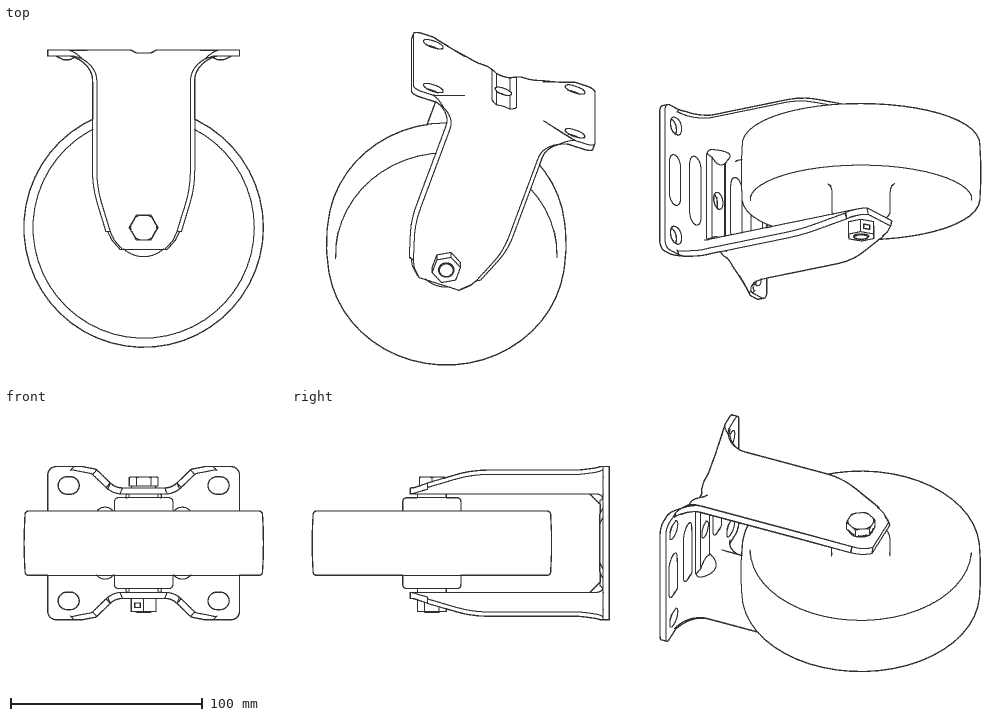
import cadquery as cq
import math


sheet = 3.3
back_y = 92.5

plate_length = 100.1
plate_height = 80.0
plate_corner = 4.6
slot_pitch_x = 78.1
slot_pitch_z = 60.1
slot_length = 10.8
slot_width = 9.0
centre_hole = 9.0
panel_rise = 1.5
panel_base_half = 9.5
panel_top_half = 6.2
groove_base_half = 6.7
groove_floor_half = 3.7

ribs = [(20.1, 37.5), (40.1, 27.6)]
rib_width = 11.2
rib_crest_width = 3.4
rib_height = 1.9
rib_crest_radius = 1.5

leg_outer_z = 28.8
leg_end_y = -11.3
web_half = 11.0
flange_angle = 44.0
flange_bend = 9.1
flange_width = 9.8
plate_bend = 6.4
flare_reach = 24.8
flare_plate_setback = 9.3
flare_leg_setback = 43.4
flare_mid_reach = 6.2
flare_mid_plate_setback = 8.0
flare_mid_leg_setback = 10.5
flare_radius = 14.4
flare_start_y = 75.6
taper_start_y = 20.8
taper_radius = 43.4
flange_end_y = -2.2
tip_reach = 4.3
tip_y = -6.7

dimple_radius = 10.8
dimple_floor = 9.8
dimple_wall = 2.6
dimple_lip_radius = 3.1

wheel_radius = 62.5
crown = 0.5
wheel_width = 33.6
rim_fillet = 2.0
rim_inner_radius = 57.6
rim_cove = 7.7
disc_thickness = 5.3
hub_radius = 15.2
hub_length = 47.4
hub_cove = 8.5

axle_radius = 4.0
spacer_radius = 7.6
hex_flats = 13.0
head_collar_radius = 6.4
head_collar_height = 1.0
head_height = 4.8
head_chamfer = 0.8
nut_height = 6.8
bolt_protrusion = 0.5
nut_mark_width = 3.4
nut_mark_height = 2.3
nut_mark_depth = 0.5

plate_front_y = back_y - sheet
leg_inner_z = leg_outer_z - sheet
slope = math.radians(flange_angle)
bend_centre = (web_half, leg_outer_z + flange_bend)
flange_start = (
    bend_centre[0] + flange_bend * math.sin(slope),
    bend_centre[1] - flange_bend * math.cos(slope),
)
hex_corners = hex_flats / math.cos(math.radians(30))


def sheet_section(plane, plate_setback, leg_setback):
    """L-shaped cut through the sheet: a stub of plate, the bend, then the leg down to its end.

    Local x runs from the leg's outer face inwards, local y from the mounting face along the leg.
    """
    quarter = 4 / 3 * (math.sqrt(2) - 1)
    stub = plate_setback + sheet
    leg = back_y - leg_end_y
    return (
        cq.Workplane(plane)
        .moveTo(stub, 0)
        .lineTo(plate_setback, 0)
        .bezier(
            [
                (plate_setback * (1 - quarter), 0),
                (0, leg_setback * (1 - quarter)),
                (0, leg_setback),
            ],
            includeCurrent=True,
        )
        .lineTo(0, leg)
        .lineTo(sheet, leg)
        .lineTo(sheet, leg_setback)
        .bezier(
            [
                (sheet, leg_setback - quarter * (leg_setback - sheet)),
                (plate_setback - quarter * (plate_setback - sheet), sheet),
                (plate_setback, sheet),
            ],
            includeCurrent=True,
        )
        .lineTo(stub, sheet)
        .close()
    )


def section_plane(x, z, angle):
    """Plane square to the leg's outer face at (x, z), where that face slopes by `angle`."""
    return cq.Plane(
        origin=(x, back_y, z),
        xDir=(math.sin(angle), 0, -math.cos(angle)),
        normal=(-math.cos(angle), 0, -math.sin(angle)),
    )


def along_flange(distance):
    """Point (x, z) on the flange's outer face at a distance up the slope from the bend."""
    return (
        flange_start[0] + distance * math.cos(slope),
        flange_start[1] + distance * math.sin(slope),
    )


def web_half_strip():
    plane = section_plane(web_half, leg_outer_z, 0)
    return sheet_section(plane, plate_bend, plate_bend).extrude(web_half)


def flange_bend_sector():
    plane = section_plane(web_half, leg_outer_z, 0)
    axis_start = (-flange_bend, 0)
    axis_end = (-flange_bend, 1)
    sector = sheet_section(plane, plate_bend, plate_bend).revolve(flange_angle, axis_start, axis_end)
    return sector.intersect(bend_outline())


def bend_outline():
    """Prism square to the chord of the bend that crops the bend's lower end."""
    chord = math.hypot(flange_start[0] - web_half, flange_start[1] - leg_outer_z)
    tilt = slope / 2
    face = cq.Plane(
        origin=(web_half, 0, leg_outer_z),
        xDir=(math.cos(tilt), 0, math.sin(tilt)),
        normal=(-math.sin(tilt), 0, math.cos(tilt)),
    )
    return (
        cq.Workplane(face)
        .moveTo(-chord, leg_end_y)
        .lineTo(0, leg_end_y)
        .lineTo(tip_reach, tip_y)
        .lineTo(chord, flange_end_y)
        .lineTo(2 * chord, flange_end_y)
        .lineTo(2 * chord, back_y)
        .lineTo(-chord, back_y)
        .close()
        .extrude(plate_height / 2, both=True)
    )


def flange_outline():
    """Prism square to the flange face that gives the flange its edge, from flare to taper."""
    face = cq.Plane(
        origin=(flange_start[0], 0, flange_start[1]),
        xDir=(math.cos(slope), 0, math.sin(slope)),
        normal=(-math.sin(slope), 0, math.cos(slope)),
    )
    flare_rise = plate_front_y - flare_start_y
    flare_turn = math.asin(flare_rise / flare_radius)
    half_turn = flare_turn / 2
    flare_mid = (
        flange_width + flare_radius * (1 - math.cos(half_turn)),
        flare_start_y + flare_radius * math.sin(half_turn),
    )
    flare_end = (flange_width + flare_radius * (1 - math.cos(flare_turn)), plate_front_y)
    outline = (
        cq.Workplane(face)
        .moveTo(0, flange_end_y)
        .lineTo(flange_width, taper_start_y)
        .lineTo(flange_width, flare_start_y)
        .threePointArc(flare_mid, flare_end)
        .lineTo(flare_reach, plate_front_y)
        .lineTo(flare_reach, back_y)
        .lineTo(0, back_y)
        .close()
        .extrude(plate_height / 2, both=True)
    )
    taper_corner = cq.selectors.NearestToPointSelector(
        face.toWorldCoords((flange_width, taper_start_y, 0)).toTuple()
    )
    return outline.edges(taper_corner).fillet(taper_radius)


def flange():
    """Sloping flange whose bend into the plate grows along the slope, so that it flares out."""
    stations = [
        (0, plate_bend, plate_bend),
        (flare_mid_reach, flare_mid_plate_setback, flare_mid_leg_setback),
        (flare_reach, flare_plate_setback, flare_leg_setback),
    ]
    sections = [
        sheet_section(section_plane(*along_flange(distance), slope), plate_setback, leg_setback)
        for distance, plate_setback, leg_setback in stations
    ]
    blank = cq.Solid.makeLoft([section.wire().val() for section in sections])
    return cq.Workplane(blank).intersect(flange_outline())


def plate_outline():
    """Prism of the plate's outer rectangle, deep enough to trim the legs' flared roots as well."""
    depth = back_y - leg_end_y
    return (
        cq.Workplane("XZ", origin=(0, back_y, 0))
        .rect(plate_length, plate_height)
        .extrude(depth)
        .edges("|Y")
        .fillet(plate_corner)
    )


def flat_plate():
    """Plate up to the lines where it starts to bend into the legs."""
    bend_root = flange_bend + plate_bend
    web_root_z = leg_outer_z - plate_bend
    arc_mid = (
        bend_centre[0] + bend_root * math.sin(slope / 2),
        bend_centre[1] - bend_root * math.cos(slope / 2),
    )
    arc_end = (
        bend_centre[0] + bend_root * math.sin(slope),
        bend_centre[1] - bend_root * math.cos(slope),
    )
    far_x, far_z = along_flange(flare_reach)
    flare_root = (
        far_x + flare_plate_setback * math.sin(slope),
        far_z - flare_plate_setback * math.cos(slope),
    )
    quarter_plate = (
        cq.Workplane("XZ", origin=(0, back_y, 0))
        .lineTo(0, web_root_z)
        .lineTo(web_half, web_root_z)
        .threePointArc(arc_mid, arc_end)
        .lineTo(*flare_root)
        .lineTo(plate_length, flare_root[1])
        .lineTo(plate_length, 0)
        .close()
        .extrude(sheet)
    )
    half_plate = quarter_plate.union(quarter_plate.mirror("XY"))
    return half_plate.union(half_plate.mirror("YZ"))


def panel_bar(base_half, top_half, base_y):
    """Full-height bar of trapezoidal section that stands on `base_y` and points to -Y."""
    return (
        cq.Workplane("XY", origin=(0, 0, -leg_inner_z))
        .polyline(
            [
                (-base_half, base_y),
                (base_half, base_y),
                (top_half, base_y - panel_rise),
                (-top_half, base_y - panel_rise),
            ]
        )
        .close()
        .extrude(2 * leg_inner_z)
    )


def dimple_rod(radius, side):
    """Rod at 45 degrees across the bend of one leg (side = +1 for the upper leg, -1 for the lower)."""
    offset = dimple_radius / math.sqrt(2)
    length = 2 * leg_outer_z
    start = cq.Vector(0, back_y - dimple_floor + offset, side * (leg_outer_z + offset))
    direction = cq.Vector(0, 1, -side)
    middle = start - direction.normalized() * (length / 2)
    return cq.Workplane(cq.Solid.makeCylinder(radius, length, middle, direction))


def dimple_zone(side):
    """Space between the mounting face and the outer face of one leg's web."""
    depth = 2 * dimple_floor
    upper = (
        cq.Workplane("XY", origin=(0, back_y - depth, 0))
        .box(plate_length / 2, depth, leg_outer_z, centered=(True, False, False))
        .edges(">Y and >Z")
        .fillet(plate_bend)
    )
    return upper if side > 0 else upper.mirror("XY")


def rib(x, length):
    """Pressed rib: a rounded slot shape with wide sloping flanks."""
    flank = (rib_width - rib_crest_width) / 2
    return (
        cq.Workplane("XZ", origin=(x, plate_front_y, 0))
        .slot2D(length, rib_width, 90)
        .workplane(offset=rib_height)
        .slot2D(length - 2 * flank, rib_crest_width, 90)
        .loft(ruled=True)
        .faces("<Y")
        .edges()
        .fillet(rib_crest_radius)
    )


def make_bracket():
    quarter_leg = web_half_strip().union(flange_bend_sector()).union(flange())
    leg = quarter_leg.union(quarter_leg.mirror("YZ"))
    body = flat_plate().union(leg).union(leg.mirror("XY"))
    body = body.intersect(plate_outline())

    body = body.union(panel_bar(panel_base_half, panel_top_half, plate_front_y))
    for side in (1, -1):
        body = body.union(dimple_rod(dimple_radius + dimple_wall, side).intersect(dimple_zone(side)))
    body = body.cut(panel_bar(groove_base_half, groove_floor_half, back_y))
    for side in (1, -1):
        body = body.cut(dimple_rod(dimple_radius, side))
        dimple_lip = cq.selectors.BoxSelector(
            (-dimple_radius / 2, back_y - dimple_floor, side * (leg_outer_z - dimple_wall / 4)),
            (dimple_radius / 2, back_y, side * (leg_outer_z + sheet)),
        )
        body = body.edges(dimple_lip).fillet(dimple_lip_radius)

    for x, length in ribs:
        body = body.union(rib(x, length)).union(rib(-x, length))

    slots = (
        cq.Workplane("XZ", origin=(0, back_y, 0))
        .rarray(slot_pitch_x, slot_pitch_z, 2, 2)
        .slot2D(slot_length, slot_width)
        .extrude(2 * sheet)
    )
    hole = cq.Workplane("XZ", origin=(0, back_y, 0)).circle(centre_hole / 2).extrude(2 * sheet)
    axle_holes = cq.Workplane("XY").circle(axle_radius).extrude(leg_outer_z, both=True)
    return body.cut(slots).cut(hole).cut(axle_holes)


def make_wheel():
    half_width = wheel_width / 2
    disc_z = disc_thickness / 2
    hub_z = hub_length / 2
    upper_half = (
        cq.Workplane("XZ")
        .moveTo(axle_radius, 0)
        .lineTo(axle_radius, hub_z)
        .lineTo(hub_radius - rim_fillet, hub_z)
        .radiusArc((hub_radius, hub_z - rim_fillet), rim_fillet)
        .lineTo(hub_radius, disc_z + hub_cove)
        .radiusArc((hub_radius + hub_cove, disc_z), -hub_cove)
        .lineTo(rim_inner_radius - rim_cove, disc_z)
        .radiusArc((rim_inner_radius, disc_z + rim_cove), -rim_cove)
        .lineTo(rim_inner_radius, half_width - rim_fillet)
        .radiusArc((rim_inner_radius + rim_fillet, half_width), rim_fillet)
        .lineTo(wheel_radius - crown - rim_fillet, half_width)
        .radiusArc((wheel_radius - crown, half_width - rim_fillet), rim_fillet)
        .threePointArc((wheel_radius - crown / 4, half_width / 2), (wheel_radius, 0))
        .close()
        .revolve(360, (0, 0), (0, 1))
    )
    return upper_half.union(upper_half.mirror("XY"))


def make_spacer(side):
    """Ring between the wheel hub and one leg."""
    hub_z = hub_length / 2
    ring = (
        cq.Workplane("XY", origin=(0, 0, hub_z))
        .circle(spacer_radius)
        .circle(axle_radius)
        .extrude(leg_inner_z - hub_z)
    )
    return ring if side > 0 else ring.mirror("XY")


def make_bolt():
    """Hexagon bolt with its head on the upper leg, passing through to the nut."""
    tip_z = -leg_outer_z - nut_height - bolt_protrusion
    shank = (
        cq.Workplane("XY", origin=(0, 0, tip_z))
        .circle(axle_radius)
        .extrude(leg_outer_z - tip_z)
        .faces("<Z")
        .chamfer(bolt_protrusion)
    )
    collar = (
        cq.Workplane("XY", origin=(0, 0, leg_outer_z))
        .circle(head_collar_radius)
        .extrude(head_collar_height)
    )
    head_z = leg_outer_z + head_collar_height
    head = cq.Workplane("XY", origin=(0, 0, head_z)).polygon(6, hex_corners).extrude(head_height)
    rounding = (
        cq.Workplane("XY", origin=(0, 0, head_z))
        .circle(hex_corners / 2)
        .extrude(head_height)
        .faces(">Z")
        .chamfer(head_chamfer / 2, head_chamfer)
    )
    return shank.union(collar).union(head.intersect(rounding))


def make_nut():
    """Hexagon nut under the lower leg, with its corners on the Y axis and a mark on one flat."""
    nut = (
        cq.Workplane("XY", origin=(0, 0, -leg_outer_z - nut_height))
        .polygon(6, hex_corners)
        .extrude(nut_height)
        .rotate((0, 0, 0), (0, 0, 1), 30)
        .cut(cq.Workplane("XY").circle(axle_radius).extrude(-2 * leg_outer_z))
    )
    mark = (
        cq.Workplane("XY")
        .box(2 * nut_mark_depth, nut_mark_width, nut_mark_height)
        .translate((hex_flats / 2, 0, -leg_outer_z - nut_height / 2))
        .rotate((0, 0, 0), (0, 0, 1), 240)
    )
    return nut.cut(mark)


bracket = make_bracket()
wheel = make_wheel()
spacers = [make_spacer(side) for side in (1, -1)]
bolt = make_bolt()
nut = make_nut()

result = cq.Compound.makeCompound(
    [
        bracket.val(),
        wheel.val(),
        *[spacer.val() for spacer in spacers],
        bolt.val(),
        nut.val(),
    ]
)